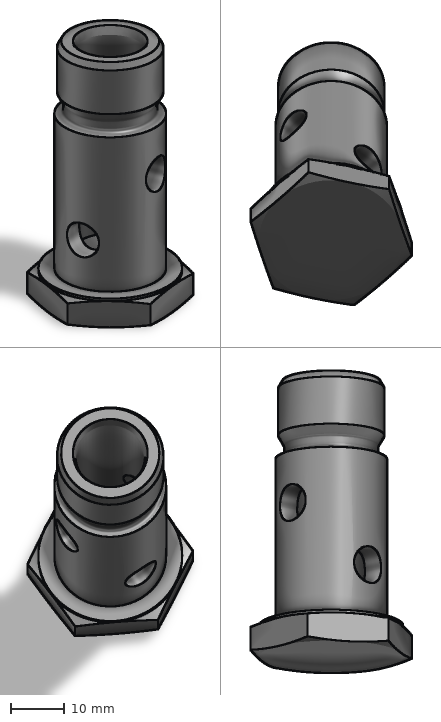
import cadquery as cq
import math

total_height = 53.0

across_flats = 27.0
across_corners = across_flats / math.cos(math.radians(30))
head_height = 6.0
collar_height = 0.55
corner_drop = 0.55

shank_diameter = 21.0
shank_top = 38.0
thread_diameter = 20.0
thread_bottom = 42.55
tip_chamfer_height = 1.4
flank_angle = math.radians(30)

groove_diameter = 17.7
groove_fillet = 1.0

bore_diameter = 13.0
bore_floor = 10.0
drill_tip_angle = math.radians(118)
mouth_diameter = 14.0
mouth_chamfer_depth = 1.85

cross_hole_diameter = 7.0
lower_hole_height = 16.0
upper_hole_height = 28.05


def make_head():
    """Hexagon with corners on Y, conically chamfered, under a round collar."""
    hex_height = head_height - collar_height
    hexagon = (
        cq.Workplane("XY")
        .polygon(6, across_corners)
        .extrude(hex_height)
        .rotate((0, 0, 0), (0, 0, 1), 30)
    )
    flat_radius = across_flats / 2
    corner_radius = across_corners / 2
    chamfer_envelope = (
        cq.Workplane("XZ")
        .moveTo(0, 0)
        .lineTo(flat_radius, 0)
        .lineTo(corner_radius, corner_drop)
        .lineTo(corner_radius, hex_height - corner_drop)
        .lineTo(flat_radius, hex_height)
        .lineTo(0, hex_height)
        .close()
        .revolve(360, (0, 0, 0), (0, 1, 0))
    )
    collar = cq.Workplane("XY").workplane(offset=hex_height).circle(flat_radius).extrude(collar_height)
    return hexagon.intersect(chamfer_envelope).union(collar)


def make_stem():
    """Shank, filleted undercut and threaded end as one turned profile."""
    shank_radius = shank_diameter / 2
    thread_radius = thread_diameter / 2
    groove_radius = groove_diameter / 2
    tip_radius = thread_radius - tip_chamfer_height * math.tan(flank_angle)

    lower_fillet_top = shank_top + groove_fillet
    fillet_mid = groove_fillet * (1 - math.cos(math.radians(45)))

    cone_radius = groove_radius + groove_fillet * (1 - math.cos(flank_angle))
    cone_bottom = thread_bottom - (thread_radius - cone_radius) / math.tan(flank_angle)
    upper_fillet_bottom = cone_bottom - groove_fillet * math.sin(flank_angle)
    half_angle = flank_angle / 2
    upper_mid = (
        groove_radius + groove_fillet * (1 - math.cos(half_angle)),
        upper_fillet_bottom + groove_fillet * math.sin(half_angle),
    )
    return (
        cq.Workplane("XZ")
        .moveTo(0, 0)
        .lineTo(shank_radius, 0)
        .lineTo(shank_radius, shank_top)
        .lineTo(groove_radius + groove_fillet, shank_top)
        .threePointArc(
            (groove_radius + fillet_mid, shank_top + fillet_mid),
            (groove_radius, lower_fillet_top),
        )
        .lineTo(groove_radius, upper_fillet_bottom)
        .threePointArc(upper_mid, (cone_radius, cone_bottom))
        .lineTo(thread_radius, thread_bottom)
        .lineTo(thread_radius, total_height - tip_chamfer_height)
        .lineTo(tip_radius, total_height)
        .lineTo(0, total_height)
        .close()
        .revolve(360, (0, 0, 0), (0, 1, 0))
    )


def make_bore():
    """Blind drilled bore with a conical floor and a slightly tapered mouth."""
    bore_radius = bore_diameter / 2
    tip_depth = bore_radius / math.tan(drill_tip_angle / 2)
    return (
        cq.Workplane("XZ")
        .moveTo(0, bore_floor - tip_depth)
        .lineTo(bore_radius, bore_floor)
        .lineTo(bore_radius, total_height - mouth_chamfer_depth)
        .lineTo(mouth_diameter / 2, total_height)
        .lineTo(0, total_height)
        .close()
        .revolve(360, (0, 0, 0), (0, 1, 0))
    )


def make_cross_hole(plane, height):
    """Cylinder through the whole shank at the given height."""
    return (
        cq.Workplane(plane)
        .center(0, height)
        .circle(cross_hole_diameter / 2)
        .extrude(shank_diameter, both=True)
    )


result = (
    make_head()
    .union(make_stem())
    .cut(make_bore())
    .cut(make_cross_hole("XZ", lower_hole_height))
    .cut(make_cross_hole("YZ", upper_hole_height))
)